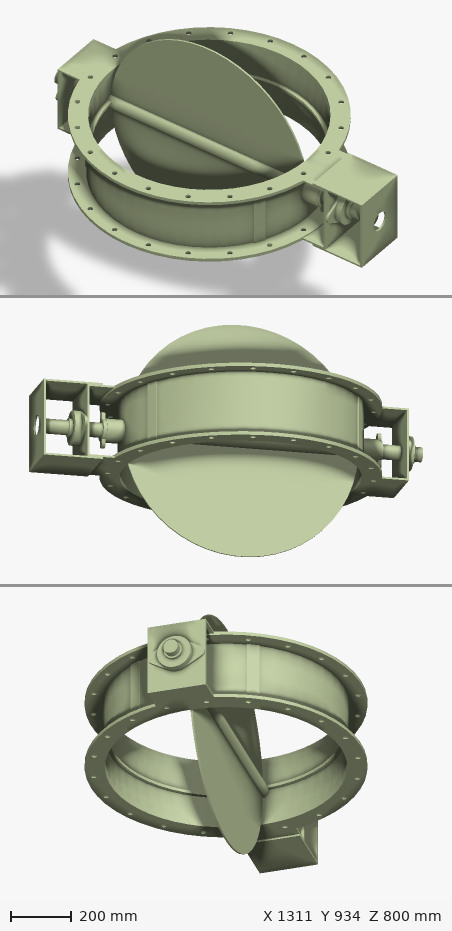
import cadquery as cq
import math

bore_radius = 400.0
wall = 7.0
housing_radius = bore_radius + wall
half_height = 125.0
flange_radius = 467.0
flange_thickness = 12.0
bolt_hole_diameter = 18.0
bolt_circle_radius = 440.0
bolt_count = 20

blade_thickness = 7.0
stop_inner_radius = 385.0
stop_height = 10.0
shaft_diameter = 50.0
shaft_start = -615.0
shaft_end = 673.0

sleeve_diameter = 80.0
sleeve_end = 476.0
gland_hub_diameter = 75.0
gland_thickness = 12.0
gland_length = 125.0
gland_width = 30.0

sheet = 7.0
bracket_width = 200.0
bracket_reach = 547.0
guard_start = 495.0
guard_end = 696.0
guard_hole_diameter = 70.0

bearing_diameter = 117.0
bearing_length = 31.0
bearing_flange_thickness = 9.0
bearing_tip_radius = 20.0
bearing_tip_offset = 79.0
collar_diameter = 62.0
collar_length = 12.0

strip_width = 42.0
strip_rise = 4.0
strip_depth = 8.0
strip_angle = 30


def rod(diameter, start, end):
    """Cylinder along X between two X positions."""
    return cq.Workplane("YZ", origin=(start, 0, 0)).circle(diameter / 2).extrude(end - start)


def block(x_range, width, z_range):
    """Box centred on Y = 0 between the given X and Z limits."""
    length = x_range[1] - x_range[0]
    height = z_range[1] - z_range[0]
    return (
        cq.Workplane("XY", origin=(x_range[0], 0, z_range[0]))
        .box(length, width, height, centered=(False, True, False))
    )


def ring(outer_radius, inner_radius, bottom, height):
    """Flat ring around Z."""
    return (
        cq.Workplane("XY", origin=(0, 0, bottom))
        .circle(outer_radius)
        .circle(inner_radius)
        .extrude(height)
    )


def make_housing():
    duct = ring(housing_radius, bore_radius, -half_height, 2 * half_height)
    upper = ring(flange_radius, bore_radius, half_height - flange_thickness, flange_thickness)
    lower = upper.mirror("XY")
    return duct.union(upper).union(lower)


def make_half_stop():
    """Half ring on the -Y side, resting on the upper face of the closed blade."""
    full = ring(housing_radius, stop_inner_radius, blade_thickness / 2, stop_height)
    positive_side = (
        cq.Workplane("XY")
        .box(2 * flange_radius, flange_radius, 2 * half_height, centered=(True, False, True))
    )
    return full.cut(positive_side)


def make_blade():
    """Round blade standing upright in the open position."""
    return (
        cq.Workplane("XZ")
        .circle(bore_radius)
        .extrude(blade_thickness / 2, both=True)
    )


def make_sleeve():
    """Sleeve on the +X side, ending in a gland: a round hub with a lug above and below."""
    gland_start = sleeve_end - gland_thickness
    tube = rod(sleeve_diameter, bore_radius, gland_start)
    hub = rod(gland_hub_diameter, gland_start, sleeve_end)
    lugs = (
        cq.Workplane("YZ", origin=(gland_start, 0, 0))
        .slot2D(gland_length, gland_width, 90)
        .extrude(gland_thickness)
    )
    return tube.union(hub).union(lugs)


def make_channel(start, end, half_outer_height):
    """U of bent sheet on the +X side, open toward the housing and at both Y ends."""
    outer = block((start, end), bracket_width, (-half_outer_height, half_outer_height))
    half_inner_height = half_outer_height - sheet
    inner = block((start, end - sheet), bracket_width, (-half_inner_height, half_inner_height))
    return outer.cut(inner)


def make_bearing():
    """Two-lobed bearing flange, round bearing body and collar on the +X bracket."""
    plane = cq.Workplane("YZ", origin=(bracket_reach, 0, 0))
    radius = bearing_diameter / 2
    cosine = (radius - bearing_tip_radius) / bearing_tip_offset
    sine = math.sqrt(1 - cosine**2)
    hub_y = radius * cosine
    hub_z = radius * sine
    tip_y = bearing_tip_offset + bearing_tip_radius * cosine
    tip_z = bearing_tip_radius * sine
    tip_end = bearing_tip_offset + bearing_tip_radius
    flange = (
        plane.moveTo(-hub_y, hub_z)
        .threePointArc((0, radius), (hub_y, hub_z))
        .lineTo(tip_y, tip_z)
        .threePointArc((tip_end, 0), (tip_y, -tip_z))
        .lineTo(hub_y, -hub_z)
        .threePointArc((0, -radius), (-hub_y, -hub_z))
        .lineTo(-tip_y, -tip_z)
        .threePointArc((-tip_end, 0), (-tip_y, tip_z))
        .close()
        .extrude(bearing_flange_thickness)
    )
    body_end = bracket_reach + bearing_length
    body = rod(bearing_diameter, bracket_reach, body_end)
    collar = rod(collar_diameter, body_end, body_end + collar_length)
    return flange.union(body).union(collar)


def make_strip(angle):
    """Flat strip between the flanges at the given angle around Z."""
    centre_radius = housing_radius + strip_rise - strip_depth / 2
    return (
        cq.Workplane("XY")
        .box(strip_depth, strip_width, 2 * (half_height - flange_thickness))
        .translate((centre_radius, 0, 0))
        .rotate((0, 0, 0), (0, 0, 1), angle)
    )


def make_guard():
    """Cover over the +X shaft end, lapped over the bracket, with a hole in line with the shaft."""
    cover = make_channel(guard_start, guard_end, half_height + sheet)
    hole = rod(guard_hole_diameter, guard_end - 2 * sheet, guard_end + sheet)
    return cover.cut(hole)


half_stop = make_half_stop()
result = make_housing()
result = result.union(half_stop)
result = result.union(half_stop.rotate((0, 0, 0), (1, 0, 0), 180))

result = result.union(make_blade())
result = result.union(rod(shaft_diameter, shaft_start, shaft_end))

side_parts = (
    make_sleeve(),
    make_channel(housing_radius, bracket_reach, half_height),
    make_bearing(),
)
for side_part in side_parts:
    result = result.union(side_part)
    result = result.union(side_part.mirror("YZ"))

result = result.union(make_guard())

for angle in (strip_angle, 180 - strip_angle, 180 + strip_angle, -strip_angle):
    result = result.union(make_strip(angle))

bolt_holes = (
    cq.Workplane("XY", origin=(0, 0, -half_height))
    .polarArray(bolt_circle_radius, 180 / bolt_count, 360, bolt_count)
    .circle(bolt_hole_diameter / 2)
    .extrude(2 * half_height)
)
result = result.cut(bolt_holes)